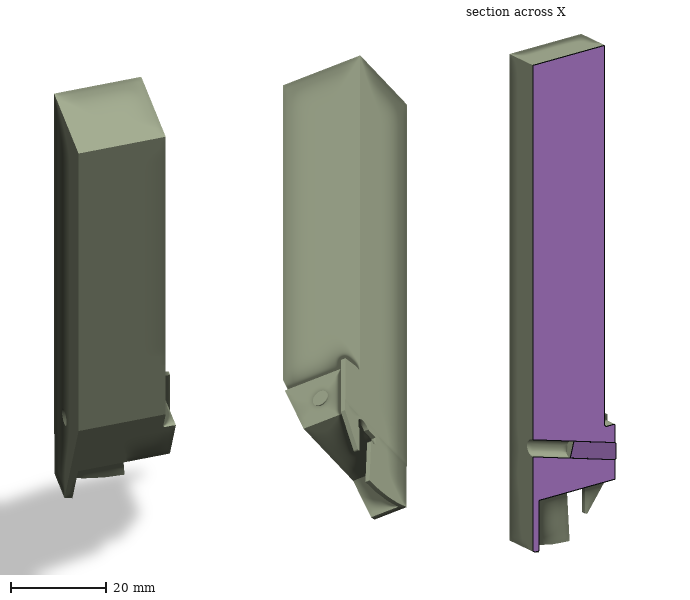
import cadquery as cq
import math

length = 113.3
shank = 19.0
head_depth = 25.0
body_depth = 21.9
blade_thickness = 1.1
body_bottom = 14.5
jaw_depth = 1.8

shoulder_tip_z = 26.3
shoulder_z = 27.1
slope_end_y = 21.2
shoulder_fillet = 0.7

jaw_tip_y = 15.1
jaw_front_z = 3.4
jaw_arc_mid = (7.4, 0.9)
slot_roof_z = 13.5

taper_start_z = 32.9
taper_end_x = 6.8

relief = 0.1
relief_top_z = 15.2
relief_full_z = 14.5

blend_radius = 0.7

screw_diameter = 3.6
screw_x = 7.9
hole_entry_z = 26.7
screw_tilt = 15.0
screw_head_depth = 10.8
screw_end_y = 22.2


def extrude_x(profile, thickness):
    """Extrude a closed YZ profile from X = 0 towards +X."""
    return profile.close().extrude(thickness)


def make_blade():
    profile = (
        cq.Workplane("YZ")
        .moveTo(0, jaw_front_z)
        .threePointArc(jaw_arc_mid, (jaw_tip_y, 0))
        .lineTo(14.4, 11.2)
        .lineTo(13.5, 11.2)
        .threePointArc((12.8, 11.4), (12.6, 12.0))
        .lineTo(12.6, slot_roof_z)
        .lineTo(15.6, slot_roof_z)
        .threePointArc((18.0, 14.4), (19.5, slot_roof_z))
        .lineTo(19.5, 11.5)
        .lineTo(19.1, 11.3)
        .lineTo(19.1, 5.7)
        .threePointArc((19.5, 5.1), (19.9, 5.3))
        .lineTo(head_depth, 12.1)
        .lineTo(head_depth, shoulder_tip_z)
        .lineTo(slope_end_y, shoulder_z)
        .lineTo(0, shoulder_z)
    )
    return extrude_x(profile, blade_thickness)


def make_body():
    bend = math.sqrt(0.5) * shoulder_fillet
    fillet_y = shank + shoulder_fillet
    fillet_z = shoulder_z + shoulder_fillet
    rim_slope = (shoulder_z - shoulder_tip_z) / (head_depth - slope_end_y)
    rim_z = shoulder_z - rim_slope * (body_depth - slope_end_y)
    profile = (
        cq.Workplane("YZ")
        .moveTo(0, 0)
        .lineTo(jaw_depth, 0)
        .lineTo(jaw_depth, body_bottom)
        .lineTo(body_depth, body_bottom)
        .lineTo(body_depth, rim_z)
        .lineTo(slope_end_y, shoulder_z)
        .lineTo(fillet_y, shoulder_z)
        .threePointArc((fillet_y - bend, fillet_z - bend), (shank, fillet_z))
        .lineTo(shank, length)
        .lineTo(0, length)
    )
    return extrude_x(profile, shank).cut(jaw_clearance())


def jaw_clearance():
    """Space below the curved underside of the jaw."""
    profile = (
        cq.Workplane("YZ")
        .moveTo(0, jaw_front_z)
        .threePointArc(jaw_arc_mid, (jaw_tip_y, 0))
        .lineTo(0, 0)
    )
    return extrude_x(profile, shank)


def make_blend():
    """Concave strip in the corner between the blade and the thick part."""
    bend = math.sqrt(0.5) * blend_radius
    outer_x = blade_thickness + blend_radius
    outer_y = body_depth + blend_radius
    return (
        cq.Workplane("XY", origin=(0, 0, body_bottom))
        .moveTo(blade_thickness, body_depth)
        .lineTo(outer_x, body_depth)
        .threePointArc((outer_x - bend, outer_y - bend), (blade_thickness, outer_y))
        .close()
        .extrude(shoulder_tip_z - body_bottom)
    )


def taper_cut():
    return (
        cq.Workplane("XZ")
        .moveTo(shank, taper_start_z)
        .lineTo(taper_end_x, 0)
        .lineTo(shank, 0)
        .close()
        .extrude(-head_depth)
    )


def relief_cut():
    return (
        cq.Workplane("XZ")
        .moveTo(0, relief_top_z)
        .lineTo(relief, relief_full_z)
        .lineTo(relief, 0)
        .lineTo(0, 0)
        .close()
        .extrude(-head_depth)
    )


def screw_cylinder(start, end):
    """Cylinder on the inclined screw axis between two distances from the hole entry."""
    tilt = math.radians(screw_tilt)
    axis = cq.Vector(0, math.cos(tilt), -math.sin(tilt))
    entry = cq.Vector(screw_x, 0, hole_entry_z)
    return cq.Workplane(
        cq.Solid.makeCylinder(screw_diameter / 2, end - start, entry + axis * start, axis)
    )


def make_holder():
    holder = make_body().union(make_blade()).union(make_blend())
    holder = holder.cut(taper_cut()).cut(relief_cut())
    return holder.cut(screw_cylinder(-shank, length / 2))


def make_screw():
    envelope = cq.Workplane("XY").box(shank, screw_end_y, length, centered=False)
    return screw_cylinder(screw_head_depth, length / 2).intersect(envelope)


holder = make_holder()
clamp_screw = make_screw()

result = cq.Compound.makeCompound([holder.val(), clamp_screw.val()])